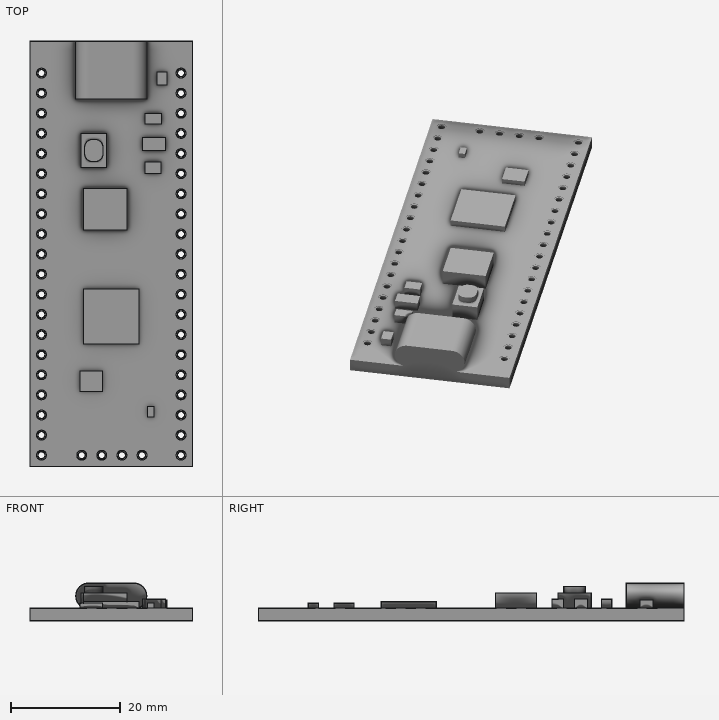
import cadquery as cq

BOARD_WIDTH = 29.7
BOARD_LENGTH = 77.65
BOARD_THICKNESS = 2.3
OVERALL_HEIGHT = 6.9

HOLE_DIAMETER = 1.25
RECESS_DIAMETER = 1.8
RECESS_DEPTH = 0.1
PINS_PER_COLUMN = 20
COLUMN_X = 12.7
FIRST_PIN_Y = 33.0
LAST_PIN_Y = -36.7
PIN_PITCH = (FIRST_PIN_Y - LAST_PIN_Y) / (PINS_PER_COLUMN - 1)
END_ROW_COUNT = 4
END_ROW_SKIP = 2

CONNECTOR_WIDTH = 13.0
CONNECTOR_LENGTH = 10.55
CONNECTOR_SINK = 0.15
CONNECTOR_HEIGHT = OVERALL_HEIGHT - BOARD_THICKNESS + CONNECTOR_SINK

BUTTON_X = -3.2
BUTTON_Y = 18.9
BUTTON_WIDTH = 4.65
BUTTON_LENGTH = 6.1
BUTTON_HEIGHT = 2.8
CAP_WIDTH = 3.35
CAP_LENGTH = 4.0
CAP_CORNER_RADIUS = 1.4
CAP_HEIGHT = 1.2

COMPONENTS = {
    "flash chip": (-1.1, 8.15, 8.0, 7.5, 2.8),
    "processor": (0.0, -11.4, 10.1, 10.1, 1.2),
    "small chip": (-3.65, -23.2, 4.2, 3.7, 0.9),
    "indicator": (7.2, -28.8, 1.2, 1.95, 0.9),
    "capacitor beside connector": (9.25, 32.0, 1.9, 2.4, 1.5),
    "upper capacitor": (7.7, 24.7, 3.0, 1.95, 1.6),
    "middle capacitor": (7.85, 20.0, 4.2, 2.4, 1.6),
    "lower capacitor": (7.6, 15.8, 2.9, 2.1, 1.6),
}


def block(x, y, width, length, height, base=BOARD_THICKNESS):
    """Rectangular block centred at (x, y), standing on the level `base`."""
    return cq.Workplane("XY", origin=(x, y, base)).rect(width, length).extrude(height)


def pin_positions():
    """Centres of every pin hole."""
    columns = [
        (x, LAST_PIN_Y + i * PIN_PITCH)
        for x in (-COLUMN_X, COLUMN_X)
        for i in range(PINS_PER_COLUMN)
    ]
    end_row = [
        (-COLUMN_X + (END_ROW_SKIP + i) * PIN_PITCH, LAST_PIN_Y)
        for i in range(END_ROW_COUNT)
    ]
    return columns + end_row


def board():
    """Flat board with its recessed through holes."""
    plate = block(0, 0, BOARD_WIDTH, BOARD_LENGTH, BOARD_THICKNESS, base=0)
    return (
        plate.faces(">Z")
        .workplane(origin=(0, 0, BOARD_THICKNESS))
        .pushPoints(pin_positions())
        .cboreHole(HOLE_DIAMETER, RECESS_DIAMETER, RECESS_DEPTH)
    )


def connector():
    """Shell with a stadium section, running along Y from the +Y edge."""
    centre_z = OVERALL_HEIGHT - CONNECTOR_HEIGHT / 2
    return (
        cq.Workplane("XZ", origin=(0, BOARD_LENGTH / 2, centre_z))
        .slot2D(CONNECTOR_WIDTH, CONNECTOR_HEIGHT)
        .extrude(CONNECTOR_LENGTH)
    )


def button():
    """Push button body and its cap."""
    body = block(BUTTON_X, BUTTON_Y, BUTTON_WIDTH, BUTTON_LENGTH, BUTTON_HEIGHT)
    cap_base = BOARD_THICKNESS + BUTTON_HEIGHT
    cap = block(BUTTON_X, BUTTON_Y, CAP_WIDTH, CAP_LENGTH, CAP_HEIGHT, base=cap_base)
    return body.union(cap.edges("|Z").fillet(CAP_CORNER_RADIUS))


result = board().union(connector()).union(button())
for placement in COMPONENTS.values():
    result = result.union(block(*placement))